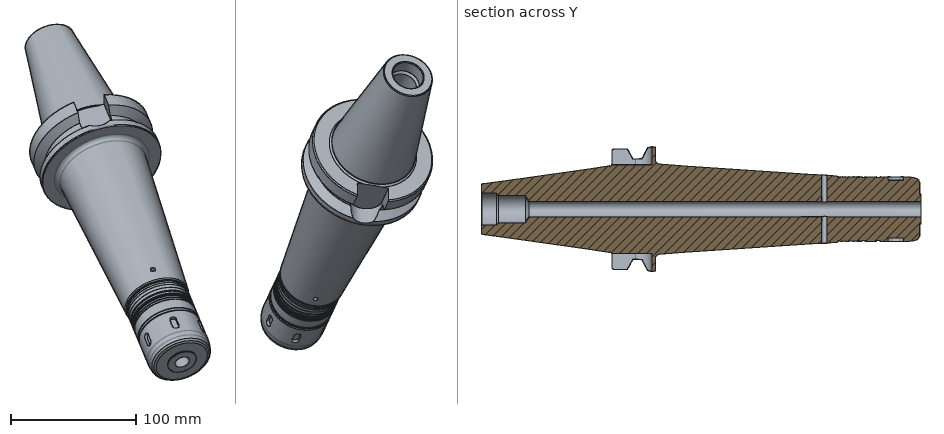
import cadquery as cq
import math

total_length = 351.8
cut_clearance = 3.5

taper_face_radius = 19.7
taper_small_radius = 20.5
taper_edge_length = 0.7
taper_length = 102.5
taper_large_radius = 35.0
relief_radius = 34.5
relief_start = 102.7
relief_end = 103.5

flange_start = 104.5
flange_end = 139.3
flange_radius = 50.0
flange_root_radius = 36.2
flange_front_chamfer = 1.0
flange_back_bevel_length = 1.0
flange_back_bevel_depth = 0.5
vee_start = 116.8
vee_end = 133.0
vee_bottom_radius = 42.2
vee_wall_angle = math.radians(30)
vee_wall_run = (flange_radius - vee_bottom_radius) * math.tan(vee_wall_angle)

keyway_count = 2
keyway_width = 25.7
keyway_round_center = 123.5
keyway_floor = 35.5

body_fillet_length = 4.0
body_fillet_height = 3.5
body_large_radius = 36.2
body_end = 284.5
body_small_radius = 26.7
body_start = flange_end + body_fillet_length

nut_start = 285.5
nut_radius = 26.0
nut_crown_start = 341.5
nut_crown_end = 345.8
nut_crown_radius = 51.0 / 2
nut_bevel_start = 348.5
nut_bevel_radius = 24.5
nut_bevel_end = 350.0
nut_bevel_end_radius = 23.2
nut_face = 350.7
nut_face_radius = 21.5

shallow_groove_radius = 51.7 / 2
deep_groove_radius = 51.0 / 2
ring_grooves = [
    (285.5, 286.7, deep_groove_radius),
    (289.0, 291.0, shallow_groove_radius),
    (294.0, 297.3, shallow_groove_radius),
    (298.5, 300.5, shallow_groove_radius),
    (301.5, 302.5, deep_groove_radius),
    (304.5, 306.8, deep_groove_radius),
]

collar_groove_start = 316.3
collar_groove_end = 318.5
collar_bevel_end = 319.5

wrench_slot_count = 6
wrench_slot_start = 325.5
wrench_slot_length = 12.0
wrench_slot_width = 5.3
wrench_slot_depth = 2.8

collet_lip_radius = 12.0

through_bore_radius = 6.0
mouth_radius = 13.5
mouth_chamfer = 0.7
counterbore_radius = mouth_radius - mouth_chamfer
counterbore_depth = 12.0
pilot_radius = 21.5 / 2
pilot_start = counterbore_depth + counterbore_radius - pilot_radius
pilot_depth = 35.2
drill_half_angle = math.radians(59)
drill_tip_length = (pilot_radius - through_bore_radius) / math.tan(drill_half_angle)

cross_hole_diameter = 4.0
cross_hole_x = 274.5


def ring_groove(start, end, bottom_radius):
    """Ring that cuts a square groove into the nut."""
    return (
        cq.Workplane("YZ")
        .workplane(offset=start)
        .circle(nut_radius + cut_clearance)
        .circle(bottom_radius)
        .extrude(end - start)
    )


def outer_body():
    """Taper, flange, conical body, nut and collet lip as one revolved outline."""
    fillet_sag = math.sqrt(0.5)
    fillet_mid = (
        body_start - body_fillet_length * fillet_sag,
        body_large_radius + body_fillet_height * (1 - fillet_sag),
    )
    return (
        cq.Workplane("XY")
        .moveTo(0, 0)
        .lineTo(0, taper_face_radius)
        .lineTo(taper_edge_length, taper_small_radius)
        .lineTo(taper_length, taper_large_radius)
        .lineTo(relief_start, relief_radius)
        .lineTo(relief_end, relief_radius)
        .lineTo(flange_start, flange_root_radius)
        .lineTo(flange_start, flange_radius - flange_front_chamfer)
        .lineTo(flange_start + flange_front_chamfer, flange_radius)
        .lineTo(vee_start, flange_radius)
        .lineTo(vee_start + vee_wall_run, vee_bottom_radius)
        .lineTo(vee_end - vee_wall_run, vee_bottom_radius)
        .lineTo(vee_end, flange_radius)
        .lineTo(flange_end - flange_back_bevel_length, flange_radius)
        .lineTo(flange_end, flange_radius - flange_back_bevel_depth)
        .lineTo(flange_end, body_large_radius + body_fillet_height)
        .threePointArc(fillet_mid, (body_start, body_large_radius))
        .lineTo(body_end, body_small_radius)
        .lineTo(nut_start, nut_radius)
        .lineTo(collar_groove_start, nut_radius)
        .lineTo(collar_groove_start, deep_groove_radius)
        .lineTo(collar_groove_end, deep_groove_radius)
        .lineTo(collar_bevel_end, nut_radius)
        .lineTo(nut_crown_start, nut_radius)
        .lineTo(nut_crown_end, nut_crown_radius)
        .lineTo(nut_bevel_start, nut_bevel_radius)
        .lineTo(nut_bevel_end, nut_bevel_end_radius)
        .lineTo(nut_face, nut_face_radius)
        .lineTo(nut_face, collet_lip_radius)
        .lineTo(total_length, collet_lip_radius)
        .lineTo(total_length, 0)
        .close()
        .revolve(360, (0, 0, 0), (1, 0, 0))
    )


def axial_bore():
    """Chamfered mouth, counterbore, pilot bore with drill tip and through bore."""
    return (
        cq.Workplane("XY")
        .moveTo(0, 0)
        .lineTo(0, mouth_radius)
        .lineTo(mouth_chamfer, counterbore_radius)
        .lineTo(counterbore_depth, counterbore_radius)
        .lineTo(pilot_start, pilot_radius)
        .lineTo(pilot_depth, pilot_radius)
        .lineTo(pilot_depth + drill_tip_length, through_bore_radius)
        .lineTo(total_length, through_bore_radius)
        .lineTo(total_length, 0)
        .close()
        .revolve(360, (0, 0, 0), (1, 0, 0))
    )


def keyway():
    """Round-ended keyway that enters the flange from the taper side, above the axis."""
    height = flange_radius - keyway_floor + cut_clearance
    straight_length = keyway_round_center - taper_length
    straight = (
        cq.Workplane("XY")
        .workplane(offset=keyway_floor)
        .center(taper_length + straight_length / 2, 0)
        .rect(straight_length, keyway_width)
        .extrude(height)
    )
    round_end = (
        cq.Workplane("XY")
        .workplane(offset=keyway_floor)
        .center(keyway_round_center, 0)
        .circle(keyway_width / 2)
        .extrude(height)
    )
    return straight.union(round_end)


def wrench_slot():
    """Round-ended slot in the top of the nut."""
    return (
        cq.Workplane("XY")
        .workplane(offset=nut_radius - wrench_slot_depth)
        .center(wrench_slot_start + wrench_slot_length / 2, 0)
        .slot2D(wrench_slot_length, wrench_slot_width)
        .extrude(wrench_slot_depth + cut_clearance)
    )


def around_axis(shape, count):
    """Copies of a shape evenly spaced around the X axis."""
    return [shape.rotate((0, 0, 0), (1, 0, 0), 360 * i / count) for i in range(count)]


result = outer_body().cut(axial_bore())

for key in around_axis(keyway(), keyway_count):
    result = result.cut(key)

for start, end, bottom_radius in ring_grooves:
    result = result.cut(ring_groove(start, end, bottom_radius))

for slot in around_axis(wrench_slot(), wrench_slot_count):
    result = result.cut(slot)

cross_hole = (
    cq.Workplane("XY")
    .center(cross_hole_x, 0)
    .circle(cross_hole_diameter / 2)
    .extrude(body_large_radius, both=True)
)
result = result.cut(cross_hole)